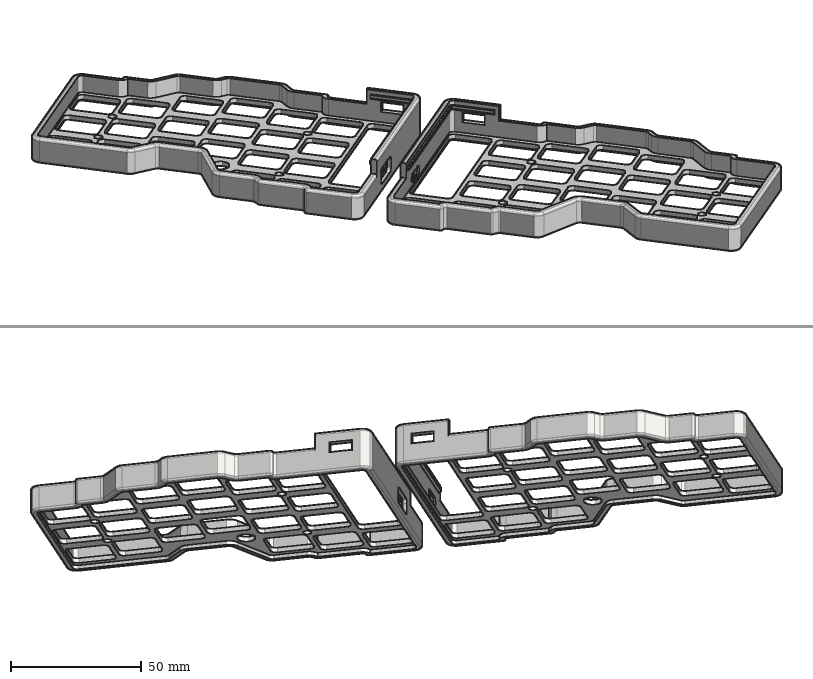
import cadquery as cq

total_width = 284.3
total_depth = 89.4
total_height = 16.8
front_half = total_depth / 2

key_pitch = 19.05
columns = 7
key_width = 17.2
key_depth = 14.0
key_corner_radius = 2.0
cell_margin = 2.05

wall_height = 10.6
wall_thickness = 2.4
plate_bottom = 1.6
plate_top = 3.6
edge_round = 1.0
corner_radius = 4.0
step_radius = 1.0
inner_corner_radius = 2.0

half_width = columns * key_pitch + 2 * cell_margin
outer_x = -total_width / 2
inner_x = outer_x + half_width
cell_reach = key_pitch / 2 + cell_margin

rows = [3, 3, 3, 3, 4, 4]
middle_column_y = front_half - cell_reach - key_pitch
index_drop = 4.6
inner_drop = 2.25
long_column_y = middle_column_y - index_drop - key_pitch / 2
column_y = [
    0.25,
    2.45,
    10.6,
    middle_column_y,
    long_column_y,
    long_column_y - inner_drop,
]
thumb_key_y = -front_half + cell_reach

controller_back = column_y[5] + 1.5 * key_pitch + key_depth / 2
controller_front = -22.7

notch_y = -22.4
notch_left = -93.3
notch_right = -75.8
outer_column_corner = -101.4
long_column_corner = -65.4

screw_diameter = 3.2
access_diameter = 7.0
access_centre = (-68.9, -19.2)

raised_outer_x = -26.5
raised_front_y = -23.7

bead_inset = 1.7
bead_bottom = 12.9
bead_top = 15.0
bead_reach = 0.9

usb_width = 9.0
usb_bottom = 8.0
usb_top = 12.1

socket_y = -11.5
socket_z = 6.7
socket_width = 10.0
socket_height = 3.6
recess_width = 13.4
recess_height = 6.6
recess_depth = 1.6
socket_corner = 1.5


def column_x(column):
    return outer_x + cell_margin + (column + 0.5) * key_pitch


def border_x(column):
    """X of the border between this column and the next one inward."""
    return column_x(column) + key_pitch / 2


def back_y(column):
    return column_y[column] + (rows[column] - 1) / 2 * key_pitch + cell_reach


def front_y(column):
    return column_y[column] - (rows[column] - 1) / 2 * key_pitch - cell_reach


def outline():
    """Outer outline of the left half as a face, following the staggered columns."""
    rise_2_3 = back_y(2) - back_y(1)
    rise_3_4 = back_y(3) - back_y(2)
    fall_4_5 = back_y(3) - back_y(4)
    fall_5_6 = front_y(4) - front_y(5)
    back_1_2 = border_x(0) - cell_margin
    back_2_3 = border_x(1) - cell_margin
    back_3_4 = border_x(2) - cell_margin
    back_4_5 = border_x(3) + cell_margin
    back_5_6 = border_x(4) + cell_margin
    front_5_6 = border_x(4) - cell_margin
    front_6_7 = border_x(5) - cell_margin
    corners = [
        (outer_x, back_y(0), corner_radius),
        (back_1_2, back_y(0), step_radius),
        (back_1_2, back_y(1), step_radius),
        (back_2_3 - rise_2_3, back_y(1), inner_corner_radius),
        (back_2_3, back_y(2), corner_radius),
        (back_3_4 - rise_3_4, back_y(2), inner_corner_radius),
        (back_3_4, back_y(3), corner_radius),
        (back_4_5, back_y(3), corner_radius),
        (back_4_5 + fall_4_5, back_y(4), inner_corner_radius),
        (back_5_6, back_y(4), step_radius),
        (back_5_6, back_y(5), step_radius),
        (inner_x, back_y(5), corner_radius),
        (inner_x, -front_half, corner_radius),
        (front_6_7, -front_half, step_radius),
        (front_6_7, front_y(5), step_radius),
        (front_5_6, front_y(5), step_radius),
        (front_5_6 - fall_5_6, front_y(4), step_radius),
        (long_column_corner, front_y(4), corner_radius),
        (notch_right, notch_y, inner_corner_radius),
        (notch_left, notch_y, inner_corner_radius),
        (outer_column_corner, front_y(0), corner_radius),
        (outer_x, front_y(0), corner_radius),
    ]
    points = [cq.Vector(x, y) for x, y, _ in corners]
    face = cq.Face.makeFromWires(cq.Wire.makePolygon(points, close=True))
    for x, y, radius in corners:
        corner = min(face.Vertices(), key=lambda v: (cq.Vector(v.toTuple()) - cq.Vector(x, y)).Length)
        face = face.fillet2D(radius, [corner])
    return face


def tray(height):
    """Tray with a wall of the given height, rounded along its outer edges, and a raised floor plate."""
    face = outline()
    body = cq.Workplane(cq.Solid.extrudeLinear(face, cq.Vector(0, 0, height)))
    body = body.faces("<Z or >Z").edges().fillet(edge_round)
    inner_wire = face.outerWire().offset2D(-wall_thickness)[0]
    inner_face = cq.Face.makeFromWires(inner_wire)
    underside_recess = cq.Solid.extrudeLinear(inner_face, cq.Vector(0, 0, plate_bottom))
    cavity = cq.Solid.extrudeLinear(inner_face, cq.Vector(0, 0, height - plate_top))
    cavity = cavity.moved(cq.Location(cq.Vector(0, 0, plate_top)))
    return body.cut(cq.Workplane(underside_recess)).cut(cq.Workplane(cavity))


def block(x0, x1, y0, y1, z0, z1):
    return cq.Workplane().box(x1 - x0, y1 - y0, z1 - z0, centered=False).translate((x0, y0, z0))


def rounded_opening(x, y, width, depth):
    return (
        cq.Workplane()
        .center(x, y)
        .rect(width, depth)
        .extrude(plate_top)
        .edges("|Z")
        .fillet(key_corner_radius)
    )


def plate_openings():
    """Key openings, the controller opening and the round holes through the plate."""
    cutters = cq.Workplane()
    for column, row_count in enumerate(rows):
        for row in range(row_count):
            y = column_y[column] + (row - (row_count - 1) / 2) * key_pitch
            cutters.add(rounded_opening(column_x(column), y, key_width, key_depth))
    controller_x = column_x(6)
    cutters.add(rounded_opening(controller_x, thumb_key_y, key_width, key_depth))
    controller_y = (controller_back + controller_front) / 2
    cutters.add(rounded_opening(controller_x, controller_y, key_width, controller_back - controller_front))
    screws = []
    for column in (0, 4):
        for side in (-1, 1):
            offset = side * (rows[column] - 2) / 2 * key_pitch
            mean_y = (column_y[column] + column_y[column + 1]) / 2
            screws.append((border_x(column), mean_y + offset))
    cutters.add(cq.Workplane().pushPoints(screws).circle(screw_diameter / 2).extrude(plate_top))
    cutters.add(cq.Workplane().center(*access_centre).circle(access_diameter / 2).extrude(plate_top))
    return cutters


def bead_profile(plane, origin, inward):
    """Bead with a flat top and a 45 degree underside, standing on the inner wall face."""
    return (
        cq.Workplane(plane, origin=origin)
        .moveTo(0, bead_bottom)
        .lineTo(inward * bead_reach, bead_bottom + bead_reach)
        .lineTo(inward * bead_reach, bead_top)
        .lineTo(0, bead_top)
        .close()
    )


def cover_beads():
    """Snap beads along the raised back wall and the raised side wall."""
    side_face = inner_x - wall_thickness
    back_face = back_y(5) - wall_thickness
    back_start = raised_outer_x + bead_inset
    side_length = back_face - raised_front_y - bead_inset
    back_bead = bead_profile("YZ", (back_start, back_face, 0), -1).extrude(side_face - back_start)
    side_bead = bead_profile("XZ", (side_face, back_face, 0), -1).extrude(side_length)
    return back_bead.union(side_bead)


def usb_opening():
    x = column_x(6)
    back = back_y(5)
    return block(x - usb_width / 2, x + usb_width / 2, back - wall_thickness, back, usb_bottom, usb_top)


def socket_cutter(width, height, depth):
    return (
        cq.Workplane("YZ", origin=(inner_x - depth, socket_y, socket_z))
        .rect(width, height)
        .extrude(depth)
        .edges("|X")
        .fillet(socket_corner)
    )


def left_half():
    case = tray(wall_height)
    raised_zone = block(raised_outer_x, inner_x, raised_front_y, front_half, 0, total_height)
    case = case.union(tray(total_height).intersect(raised_zone))
    for cutter in plate_openings().vals():
        case = case.cut(cq.Workplane(cutter))
    case = case.union(cover_beads())
    case = case.cut(usb_opening())
    case = case.cut(socket_cutter(socket_width, socket_height, wall_thickness))
    case = case.cut(socket_cutter(recess_width, recess_height, recess_depth))
    return case


left_case = left_half()
right_case = left_case.mirror("YZ")

result = cq.Compound.makeCompound([left_case.val(), right_case.val()])